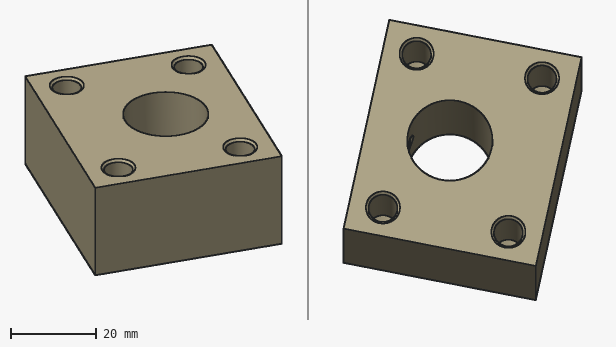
import cadquery as cq
import math

length = 53.0
width = 46.0
height = 24.0

bore_diameter = 20.0
bore_y = 3.0

screw_spacing_x = 39.0
screw_spacing_y = 30.0
screw_diameter = 6.8
countersink_diameter = 8.0
countersink_angle = 90.0
screw_depth = 15.0
drill_point_angle = 140.0

groove_diameter = 6.8
core_diameter = 5.5
groove_depth = 1.0


def cone_height(diameter_change, included_angle):
    """Axial length over which a cone changes its diameter by the given amount."""
    return diameter_change / 2 / math.tan(math.radians(included_angle / 2))


def screw_hole_cutter():
    """Revolved cutter with its mouth at the origin, pointing down."""
    radius = screw_diameter / 2
    sink_depth = cone_height(countersink_diameter - screw_diameter, countersink_angle)
    tip_depth = screw_depth + cone_height(screw_diameter, drill_point_angle)
    return (
        cq.Workplane("XZ")
        .lineTo(countersink_diameter / 2, 0)
        .lineTo(radius, -sink_depth)
        .lineTo(radius, -screw_depth)
        .lineTo(0, -tip_depth)
        .close()
        .revolve(360, (0, 0, 0), (0, 1, 0))
    )


def bore_cutter():
    return cq.Workplane("XY").center(0, bore_y).circle(bore_diameter / 2).extrude(height)


def groove_cutter():
    """Tube along +Y that leaves the core flush with the outermost line of the bore wall."""
    core_face_y = bore_y + bore_diameter / 2
    pocket = (
        cq.Workplane("XZ", origin=(0, bore_y, height / 2))
        .circle(groove_diameter / 2)
        .extrude(-(bore_diameter / 2 + groove_depth))
    )
    core = (
        cq.Workplane("XZ", origin=(0, core_face_y, height / 2))
        .circle(core_diameter / 2)
        .extrude(-groove_depth)
    )
    return pocket.cut(core)


block = cq.Workplane("XY").box(length, width, height, centered=(True, True, False))
result = block.cut(bore_cutter()).cut(groove_cutter())

for side_x in (-1, 1):
    for side_y in (-1, 1):
        mouth = (side_x * screw_spacing_x / 2, side_y * screw_spacing_y / 2, height)
        result = result.cut(screw_hole_cutter().translate(mouth))